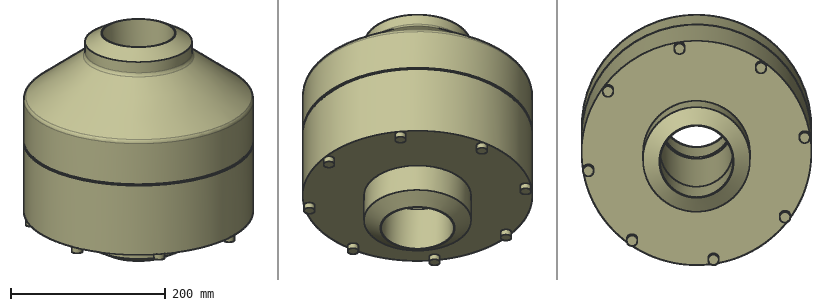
import cadquery as cq

total_height = 300.0
body_bottom = 50.5
groove_bottom = 147.3
groove_height = 2.5
shoulder_height = 209.7
cone_top = 270.3

body_diameter = 298.0
groove_diameter = 292.0
neck_diameter = 139.0
bore_diameter = 94.5

bevel_height = 12.0
bevel_end_diameter = 96.5

blend_radius = 6.0

cavity_diameter = 99.0
bore_land = 61.8

pin_count = 8
pin_diameter = 14.0
pin_length = 8.0


def make_outer_body():
    """Revolve the drum, cone and bevelled necks around the Z axis."""
    body_radius = body_diameter / 2
    groove_radius = groove_diameter / 2
    neck_radius = neck_diameter / 2
    end_radius = bevel_end_diameter / 2
    groove_top = groove_bottom + groove_height
    outline = [
        (0, 0),
        (end_radius, 0),
        (neck_radius, bevel_height),
        (neck_radius, body_bottom),
        (body_radius, body_bottom),
        (body_radius, groove_bottom),
        (groove_radius, groove_bottom),
        (groove_radius, groove_top),
        (body_radius, groove_top),
        (body_radius, shoulder_height),
        (neck_radius, cone_top),
        (neck_radius, total_height - bevel_height),
        (end_radius, total_height),
        (0, total_height),
    ]
    body = cq.Workplane("XZ").polyline(outline).close().revolve(360, (0, 0, 0), (0, 1, 0))
    for radius, height in ((body_radius, shoulder_height), (neck_radius, cone_top)):
        edge_box = cq.selectors.BoxSelector(
            (-radius - 3, -radius - 3, height - 0.3),
            (radius + 3, radius + 3, height + 0.3),
            boundingbox=True,
        )
        body = body.edges(edge_box).fillet(blend_radius)
    return body


def make_pins():
    """Ring of round pins whose outer sides are flush with the drum."""
    ring_radius = (body_diameter - pin_diameter) / 2
    return (
        cq.Workplane("XY", origin=(0, 0, body_bottom))
        .polarArray(ring_radius, 0, 360, pin_count)
        .circle(pin_diameter / 2)
        .extrude(-pin_length)
    )


def make_passage():
    """Straight bore with a wider cavity between the two end lands."""
    bore = cq.Workplane("XY").circle(bore_diameter / 2).extrude(total_height)
    cavity = (
        cq.Workplane("XY", origin=(0, 0, bore_land))
        .circle(cavity_diameter / 2)
        .extrude(total_height - 2 * bore_land)
    )
    return bore.union(cavity)


result = make_outer_body().union(make_pins()).cut(make_passage())